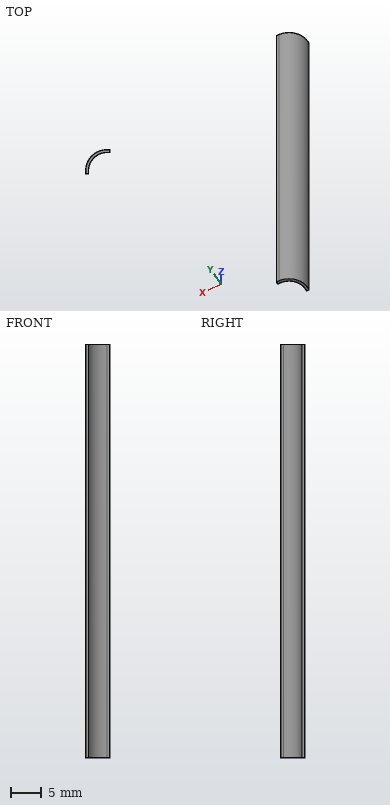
import cadquery as cq
import math

side = 4.0
wall = 0.5
lip = 0.5
length = 68.0

outer_radius = side - lip
inner_radius = outer_radius - wall

bend_x = -lip
bend_y = lip


def bend_point(radius, angle):
    """Point at an angle in degrees on an arc about the bend axis."""
    radians = math.radians(angle)
    return (bend_x + radius * math.cos(radians), bend_y + radius * math.sin(radians))


def strip_profile():
    """Closed cross-section: out along the outer face, back along the inner face."""
    top_angle = 90
    middle_angle = 135
    side_angle = 180
    return (
        cq.Workplane("XY")
        .moveTo(bend_x - outer_radius, 0)
        .lineTo(*bend_point(outer_radius, side_angle))
        .threePointArc(bend_point(outer_radius, middle_angle), bend_point(outer_radius, top_angle))
        .lineTo(0, bend_y + outer_radius)
        .lineTo(0, bend_y + inner_radius)
        .lineTo(*bend_point(inner_radius, top_angle))
        .threePointArc(bend_point(inner_radius, middle_angle), bend_point(inner_radius, side_angle))
        .lineTo(bend_x - inner_radius, 0)
        .close()
    )


result = strip_profile().extrude(length)